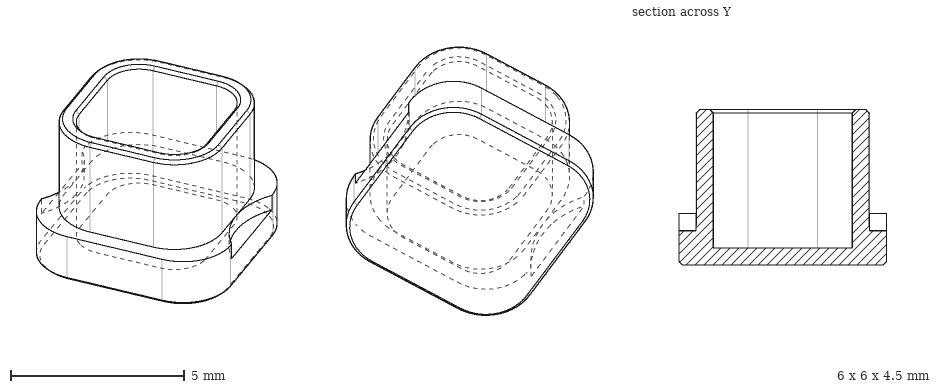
import cadquery as cq

base_side = 6.0
base_height = 1.5
total_height = 4.5
corner_radius = 1.5
wall = 0.5
edge_chamfer = 0.1
notch_radius = 2.3

cup_side = base_side - 2 * wall
cavity_side = cup_side - 2 * wall
cavity_radius = corner_radius - wall
notch_depth = wall


def rounded_block(side, radius, bottom, top):
    """Square block with rounded vertical edges, between two heights."""
    block = cq.Workplane("XY").workplane(offset=bottom).rect(side, side).extrude(top - bottom)
    return block.edges("|Z").fillet(radius)


def side_notch(direction):
    """Circular cutter for the scallop on the -X (-1) or +X (+1) side of the base."""
    center_x = direction * (base_side / 2 - notch_depth + notch_radius)
    return (
        cq.Workplane("XY")
        .workplane(offset=base_height - notch_depth)
        .center(center_x, 0)
        .circle(notch_radius)
        .extrude(notch_depth)
    )


base = rounded_block(base_side, corner_radius, 0, base_height)
base = base.faces("<Z").chamfer(edge_chamfer)
for direction in (-1, 1):
    base = base.cut(side_notch(direction))

cup = rounded_block(cup_side, corner_radius, 0, total_height)
cavity = rounded_block(cavity_side, cavity_radius, wall, total_height)
cup = cup.cut(cavity).faces(">Z").edges().chamfer(edge_chamfer)

result = base.cut(cavity).union(cup)